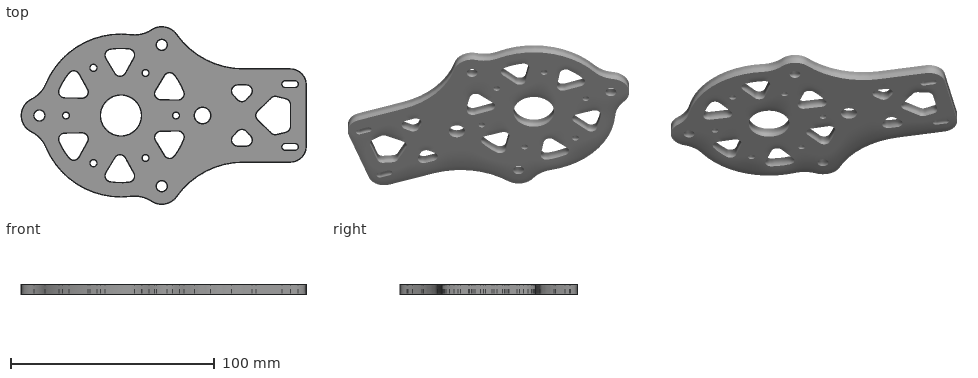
import cadquery as cq
import math

thickness = 5.0
disc_radius = 40.0
lug_radius = 9.0
lug_blend_radius = 15.0
neck_round_radius = 40.0
neck_half_width = 23.0
overall_length = 140.0
end_corner_radius = 8.0

bore_diameter = 20.0
lug_hole_diameter = 5.3
neck_hole_diameter = 8.0

axial_hole_circle_radius = 27.0
axial_hole_diameter = 3.2
rear_hole_diameter = 3.4
front_hole_circle_radius = 24.1
front_hole_diameter = 3.2

window_corner_radius = 3.0
disc_window_outer_radius = 32.9
disc_window_apex_radius = 16.4
disc_window_half_angle = 30.0
disc_window_angles = (28.9, 91.1, 148.9)

slot_length = 8.0
slot_width = 3.2
slot_x = 83.0
slot_y = 15.4

neck_window_x = 59.3
neck_window_tip_y = 9.8
neck_window_base_y = 12.0
neck_window_half_base = 2.1

end_window_tip_x = 69.1
end_window_shoulder = (75.7, 6.5)
end_window_base = (80.2, 5.3)

lug_circle_radius = disc_radius
lug_angles = (60, 180, 300)
front_lug_angle, rear_lug_angle = lug_angles[:2]
end_x = overall_length - lug_circle_radius - lug_radius


def polar(radius, angle):
    """Point at a radius and an angle in degrees about the disc centre."""
    turn = math.radians(angle)
    return (radius * math.cos(turn), radius * math.sin(turn))


def toward(start, target, distance):
    """Point at a distance from start along the line to target."""
    share = distance / math.dist(start, target)
    return tuple(a + share * (b - a) for a, b in zip(start, target))


def arc_middle(center, radius, start, end):
    """Middle point of the shorter arc from start to end."""
    chord_middle = tuple((a + b) / 2 for a, b in zip(start, end))
    return toward(center, chord_middle, radius)


def lug_blend(lug_angle, side):
    """Centre, disc tangent point and lug tangent point of one disc-to-lug round."""
    disc_reach = disc_radius + lug_blend_radius
    lug_reach = lug_radius + lug_blend_radius
    cosine = (disc_reach**2 + lug_circle_radius**2 - lug_reach**2) / (2 * disc_reach * lug_circle_radius)
    angle = lug_angle + side * math.degrees(math.acos(cosine))
    center = polar(disc_reach, angle)
    lug_center = polar(lug_circle_radius, lug_angle)
    return center, polar(disc_radius, angle), toward(lug_center, center, lug_radius)


def make_plate():
    """Disc with three lugs and a neck, drawn as its +Y half and mirrored."""
    disc_center = (0, 0)
    rear_tip = (-lug_circle_radius - lug_radius, 0)
    rear_lug = polar(lug_circle_radius, rear_lug_angle)
    front_lug = polar(lug_circle_radius, front_lug_angle)
    rear_blend, rear_disc_point, rear_lug_point = lug_blend(rear_lug_angle, -1)
    front_blend, front_disc_point, front_lug_point = lug_blend(front_lug_angle, 1)

    round_y = neck_half_width + neck_round_radius
    round_dx = math.sqrt((neck_round_radius + lug_radius) ** 2 - (round_y - front_lug[1]) ** 2)
    neck_round = (front_lug[0] + round_dx, round_y)
    lug_neck_point = toward(front_lug, neck_round, lug_radius)
    neck_point = (neck_round[0], neck_half_width)

    corner_center = (end_x - end_corner_radius, neck_half_width - end_corner_radius)
    corner_start = (corner_center[0], neck_half_width)
    corner_end = (end_x, corner_center[1])

    arcs_to_neck = [
        (rear_lug, lug_radius, rear_lug_point),
        (rear_blend, lug_blend_radius, rear_disc_point),
        (disc_center, disc_radius, front_disc_point),
        (front_blend, lug_blend_radius, front_lug_point),
        (front_lug, lug_radius, lug_neck_point),
        (neck_round, neck_round_radius, neck_point),
    ]
    outline = cq.Workplane("XY").moveTo(*rear_tip)
    start = rear_tip
    for center, radius, end in arcs_to_neck:
        outline = outline.threePointArc(arc_middle(center, radius, start, end), end)
        start = end
    outline = outline.lineTo(*corner_start)
    corner_middle = arc_middle(corner_center, end_corner_radius, corner_start, corner_end)
    outline = outline.threePointArc(corner_middle, corner_end)
    return outline.lineTo(end_x, 0).mirrorX().extrude(thickness)


def round_holes(diameter, points):
    return cq.Workplane("XY").pushPoints(points).circle(diameter / 2).extrude(thickness)


def rounded_window(center_outline):
    """Window whose corner rounds are centred on the corners of an outline."""
    return center_outline.offset2D(window_corner_radius, "arc").extrude(thickness)


def disc_window(angle):
    """Rounded triangle pointing at the bore, its outer side following the disc."""
    half_angle = math.radians(disc_window_half_angle)
    inner = disc_window_apex_radius + window_corner_radius / math.sin(half_angle)
    outer = disc_window_outer_radius - window_corner_radius
    side = math.sqrt(outer**2 - (inner * math.sin(half_angle)) ** 2) - inner * math.cos(half_angle)
    corner_x = inner + side * math.cos(half_angle)
    corner_y = side * math.sin(half_angle)
    outline = (
        cq.Workplane("XY")
        .moveTo(inner, 0)
        .lineTo(corner_x, -corner_y)
        .threePointArc((outer, 0), (corner_x, corner_y))
        .close()
    )
    return rounded_window(outline).rotate((0, 0, 0), (0, 0, 1), angle)


def neck_window(side):
    corners = [
        (neck_window_x, side * neck_window_tip_y),
        (neck_window_x + neck_window_half_base, side * neck_window_base_y),
        (neck_window_x - neck_window_half_base, side * neck_window_base_y),
    ]
    return rounded_window(cq.Workplane("XY").polyline(corners).close())


def end_window():
    shoulder_x, shoulder_y = end_window_shoulder
    base_x, base_y = end_window_base
    corners = [
        (end_window_tip_x, 0),
        (shoulder_x, -shoulder_y),
        (base_x, -base_y),
        (base_x, base_y),
        (shoulder_x, shoulder_y),
    ]
    return rounded_window(cq.Workplane("XY").polyline(corners).close())


def end_slots():
    centers = [(slot_x, slot_y), (slot_x, -slot_y)]
    return cq.Workplane("XY").pushPoints(centers).slot2D(slot_length, slot_width).extrude(thickness)


result = make_plate()

result = result.cut(round_holes(bore_diameter, [(0, 0)]))
result = result.cut(round_holes(neck_hole_diameter, [(lug_circle_radius, 0)]))
result = result.cut(round_holes(lug_hole_diameter, [polar(lug_circle_radius, a) for a in lug_angles]))
for diameter, circle_radius, angles in (
    (axial_hole_diameter, axial_hole_circle_radius, (0, 180)),
    (rear_hole_diameter, axial_hole_circle_radius, (120, 240)),
    (front_hole_diameter, front_hole_circle_radius, (60, 300)),
):
    result = result.cut(round_holes(diameter, [polar(circle_radius, a) for a in angles]))

for side in (1, -1):
    for window_angle in disc_window_angles:
        result = result.cut(disc_window(side * window_angle))
    result = result.cut(neck_window(side))
result = result.cut(end_window()).cut(end_slots())